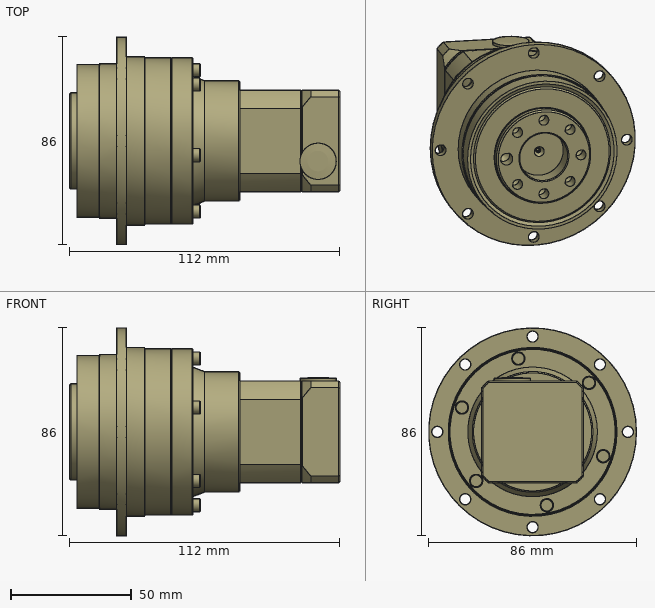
import cadquery as cq
import math


hub_diameter = 40.0
hub_edge_chamfer = 0.7
hub_length = 12.5
hub_bore_diameter = 20.3
hub_bore_depth = 9
hub_bore_chamfer = 0.5
bolt_circle_diameter = 31.5
tapped_hole_diameter = 4.1
tapped_hole_depth = 7.0
dowel_hole_diameter = 5.0
dowel_hole_depth = 6.0
output_hole_count = 8
drill_point_angle = 118
centre_mouth_diameter = 4.1
centre_drill_diameter = 2.0
centre_countersink_angle = 60
centre_drill_depth = 3.4

nose_front = 3.1
nose_end = 12.5
nose_diameter = 63.3
pilot_diameter = 64.1
seal_diameter = 58.0
seal_edge_chamfer = 0.7
seal_mouth_diameter = 60.8
hub_gap = 0.3
flange_front = 19.6
flange_thickness = 4.0
flange_diameter = 86.0
flange_hole_diameter = 4.5
flange_hole_circle_diameter = 78.8
flange_hole_count = 8
gear_ring_end = 31.4
gear_ring_diameter = 69.9
rear_ring_diameter = 69.0
ring_edge_chamfer = 0.3
middle_ring_end = 42.2
rear_ring_end = 51.1
cone_diameter = 53.6
cone_end = 55.9
neck_diameter = 50.0
neck_end = 70.6
neck_chamfer = 0.6

screw_count = 6
screw_head_diameter = 5.5
screw_head_height = 3.1
screw_edge_chamfer = 0.3
screw_circle_diameter = 61.8
screw_start_angle = 101

adapter_width = 42.1
adapter_end = 96.0
joint_chamfer = 0.5
cap_end = 112
cap_corner_diameter = 55.8
cap_nose_length = 3.9
cap_rear_chamfer = 0.6

plug_x = 102.9
plug_y = -8.4
plug_diameter = 15.0
plug_rim_height = 1.1
plug_crown_diameter = 8.5
plug_crown_height = 1.3
plug_embedment = 1.1


def disc(start, length, diameter):
    """Cylinder about the X axis."""
    return cq.Workplane("YZ").workplane(offset=start).circle(diameter / 2).extrude(length)


def square_block(start, end, width):
    """Square bar centred on the X axis."""
    return cq.Workplane("YZ").workplane(offset=start).rect(width, width).extrude(end - start)


def revolved(profile):
    """Turn an (x, radius) profile about the X axis."""
    return cq.Workplane("XY").polyline(profile).close().revolve(360, (0, 0, 0), (1, 0, 0))


def ring_positions(circle_diameter, count, start_angle=0):
    """(y, z) points spread evenly on a circle, with angles counted from +Y toward +Z."""
    angles = [math.radians(start_angle + 360 * i / count) for i in range(count)]
    return [(circle_diameter / 2 * math.cos(a), circle_diameter / 2 * math.sin(a)) for a in angles]


def drilled_hole(diameter, depth, y=0, z=0):
    """Blind hole from x = 0 with a drill-point bottom."""
    radius = diameter / 2
    point_length = radius / math.tan(math.radians(drill_point_angle / 2))
    profile = [(0, 0), (0, radius), (depth, radius), (depth + point_length, 0)]
    return revolved(profile).translate((0, y, z))


def chamfered_disc(start, end, diameter, front_chamfer, rear_chamfer):
    """Cylinder about X with its end edges chamfered; a zero leaves that edge sharp."""
    body = disc(start, end - start, diameter)
    if front_chamfer:
        body = body.faces("<X").chamfer(front_chamfer)
    if rear_chamfer:
        body = body.faces(">X").chamfer(rear_chamfer)
    return body


def make_centre_hole():
    mouth_radius = centre_mouth_diameter / 2
    drill_radius = centre_drill_diameter / 2
    half_angle = math.radians(centre_countersink_angle / 2)
    countersink_depth = (mouth_radius - drill_radius) / math.tan(half_angle)
    countersink = revolved([
        (0, 0), (0, mouth_radius), (countersink_depth, drill_radius), (countersink_depth, 0),
    ])
    hole = countersink.union(drilled_hole(centre_drill_diameter, centre_drill_depth))
    return hole.translate((hub_bore_depth, 0, 0))


def make_output_flange():
    hub = chamfered_disc(0, hub_length, hub_diameter, hub_edge_chamfer, 0)
    bore_radius = hub_bore_diameter / 2
    bore = revolved([
        (0, 0),
        (0, bore_radius + hub_bore_chamfer),
        (hub_bore_chamfer, bore_radius),
        (hub_bore_depth, bore_radius),
        (hub_bore_depth, 0),
    ])
    hub = hub.cut(bore).cut(make_centre_hole())
    dowel_position, *tapped_positions = ring_positions(bolt_circle_diameter, output_hole_count)
    hub = hub.cut(drilled_hole(dowel_hole_diameter, dowel_hole_depth, *dowel_position))
    for y, z in tapped_positions:
        hub = hub.cut(drilled_hole(tapped_hole_diameter, tapped_hole_depth, y, z))
    return hub


def make_mounting_flange():
    flange = disc(flange_front, flange_thickness, flange_diameter)
    holes = (
        cq.Workplane("YZ").workplane(offset=flange_front)
        .pushPoints(ring_positions(flange_hole_circle_diameter, flange_hole_count))
        .circle(flange_hole_diameter / 2).extrude(flange_thickness)
    )
    return flange.cut(holes)


def make_seal_groove():
    """V-shaped ring between the nose and the chamfered edge of the seal face."""
    seal_radius = seal_diameter / 2
    return revolved([
        (nose_front, seal_mouth_diameter / 2),
        (nose_front + seal_edge_chamfer, seal_radius),
        (nose_front, seal_radius - seal_edge_chamfer),
    ])


def make_hub_seat():
    """Bore that holds the output flange, widened slightly at its mouth."""
    seat = disc(0, hub_length, hub_diameter)
    mouth_clearance = disc(0, nose_front + hub_gap, hub_diameter + 2 * hub_gap)
    return seat.union(mouth_clearance)


def make_ring_stack():
    stack = chamfered_disc(nose_front, nose_end, nose_diameter, 0, ring_edge_chamfer)
    stack = stack.union(disc(nose_end, flange_front - nose_end, pilot_diameter))
    stack = stack.union(make_mounting_flange())
    rings = [
        (flange_front, gear_ring_end, gear_ring_diameter, 0, ring_edge_chamfer),
        (gear_ring_end, middle_ring_end, rear_ring_diameter, 0, ring_edge_chamfer),
        (middle_ring_end, rear_ring_end, rear_ring_diameter, ring_edge_chamfer, ring_edge_chamfer),
    ]
    for ring in rings:
        stack = stack.union(chamfered_disc(*ring))
    return stack


def make_neck():
    neck_radius = neck_diameter / 2
    return revolved([
        (rear_ring_end, 0),
        (rear_ring_end, cone_diameter / 2),
        (cone_end, neck_radius),
        (neck_end - neck_chamfer, neck_radius),
        (neck_end, neck_radius - neck_chamfer),
        (neck_end, 0),
    ])


def make_screw_heads():
    head = chamfered_disc(0, screw_head_height, screw_head_diameter, 0, screw_edge_chamfer)
    positions = ring_positions(screw_circle_diameter, screw_count, screw_start_angle)
    return [head.translate((rear_ring_end, y, z)) for y, z in positions]


def make_adapter():
    """Square bar with its corners turned down to the neck diameter."""
    bar = square_block(neck_end, adapter_end, adapter_width)
    adapter = bar.intersect(disc(neck_end, adapter_end - neck_end, neck_diameter))
    return adapter.faces(">X").chamfer(joint_chamfer)


def make_cap():
    """Square cap with turned corners and a conical nose."""
    corner_radius = cap_corner_diameter / 2
    turned_blank = revolved([
        (adapter_end, 0),
        (adapter_end, neck_diameter / 2),
        (adapter_end + cap_nose_length, corner_radius),
        (cap_end, corner_radius),
        (cap_end, 0),
    ])
    cap = square_block(adapter_end, cap_end, adapter_width).intersect(turned_blank)
    cap = cap.faces("<X").chamfer(joint_chamfer)
    return cap.faces(">X").chamfer(cap_rear_chamfer)


def make_plug():
    """Round plug standing on the cap, its top rising slightly to a flat crown."""
    rim_radius = plug_diameter / 2
    cap_top = adapter_width / 2
    profile = [
        (0, -plug_embedment),
        (rim_radius, -plug_embedment),
        (rim_radius, plug_rim_height),
        (plug_crown_diameter / 2, plug_crown_height),
        (0, plug_crown_height),
    ]
    plug = cq.Workplane("XZ").polyline(profile).close().revolve(360, (0, 0, 0), (0, 1, 0))
    return plug.translate((plug_x, plug_y, cap_top))


def make_housing():
    housing = make_ring_stack().cut(make_seal_groove()).cut(make_hub_seat())
    sections = [make_neck(), make_adapter(), make_cap(), make_plug()]
    for section in sections + make_screw_heads():
        housing = housing.union(section)
    return housing


output_flange = make_output_flange()
housing = make_housing()
result = cq.Compound.makeCompound([output_flange.val(), housing.val()])